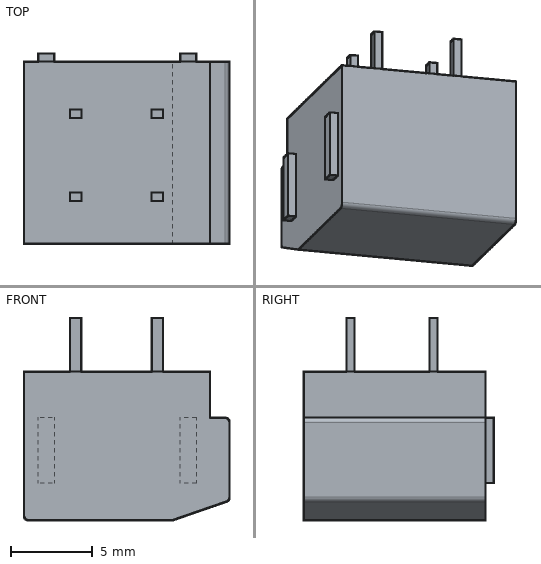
import cadquery as cq

total_length = 12.6
housing_width = 11.15
housing_height = 9.1
top_length = 11.4
step_depth = 2.81
bottom_flat_length = 9.1
slope_rise = 1.21
edge_radius = 0.3

pin_length = 0.7
pin_width = 0.5
pin_height = 3.3
pin_center_x = 5.67
pin_center_y = 5.42
pin_pitch_x = 5.0
pin_pitch_y = 5.08

tab_length = 1.0
tab_thickness = 0.5
tab_height = 4.01
tab_bottom = 2.28
first_tab_x = 0.87
tab_pitch = 8.7


def make_housing():
    """Extrude the stepped side profile along Y and round three of its edges."""
    shelf_height = housing_height - step_depth
    profile = [
        (0, 0),
        (bottom_flat_length, 0),
        (total_length, slope_rise),
        (total_length, shelf_height),
        (top_length, shelf_height),
        (top_length, housing_height),
        (0, housing_height),
    ]
    housing = cq.Workplane("XZ").polyline(profile).close().extrude(-housing_width)
    rounded_corners = [(0, 0), (total_length, slope_rise), (total_length, shelf_height)]
    for x, z in rounded_corners:
        edge_middle = (x, housing_width / 2, z)
        housing = housing.edges(cq.selectors.NearestToPointSelector(edge_middle)).fillet(edge_radius)
    return housing


def make_pins():
    """Four rectangular pins standing on the top face."""
    return (
        cq.Workplane("XY", origin=(pin_center_x, pin_center_y, housing_height))
        .rarray(pin_pitch_x, pin_pitch_y, 2, 2)
        .rect(pin_length, pin_width)
        .extrude(pin_height)
    )


def make_tab(x):
    """Flat rectangular tab on the back wall, starting at the given X."""
    return cq.Workplane("XY").box(tab_length, tab_thickness, tab_height, centered=False).translate(
        (x, housing_width, tab_bottom)
    )


result = make_housing().union(make_pins())
for tab_x in (first_tab_x, first_tab_x + tab_pitch):
    result = result.union(make_tab(tab_x))